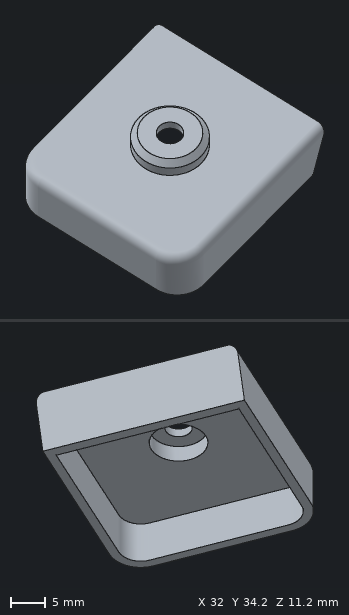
import cadquery as cq
import math

width = 32.0
length = 34.2
total_height = 11.25

body_height = 8.5
corner_radius = 5.0
wall = 1.5
top_edge_radius = wall
rear_slope = math.radians(20.0)

boss_diameter = 11.63
boss_chamfer = 1.0
boss_from_front = 17.37
hole_diameter = 4.0

front_y = -length / 2
rear_y = length / 2
boss_y = front_y + boss_from_front


def tapered_block(inset):
    """Block with rounded front corners and a sloping rear, moved inward by inset on every wall."""
    height = body_height - inset
    front = front_y + inset
    rear_at_body_top = rear_y - inset / math.cos(rear_slope)
    rear_at_top = rear_at_body_top - inset * math.tan(rear_slope)
    rear_at_bottom = rear_at_body_top - body_height * math.tan(rear_slope)
    return (
        cq.Workplane("YZ")
        .moveTo(front, 0)
        .lineTo(rear_at_bottom, 0)
        .lineTo(rear_at_top, height)
        .lineTo(front, height)
        .close()
        .extrude(width / 2 - inset, both=True)
        .edges("|Z and <Y").fillet(corner_radius - inset)
    )


def boss_cylinder(diameter, height):
    """Vertical cylinder on the boss axis, rising from the underside."""
    return cq.Workplane("XY").center(0, boss_y).circle(diameter / 2).extrude(height)


body = tapered_block(0).faces(">Z").edges("not >Y").fillet(top_edge_radius)
boss = boss_cylinder(boss_diameter, total_height).faces(">Z").chamfer(boss_chamfer)

body_cavity = tapered_block(wall)
boss_cavity = boss_cylinder(boss_diameter - 2 * wall, total_height - wall)
hole = boss_cylinder(hole_diameter, total_height)

result = body.union(boss).cut(body_cavity).cut(boss_cavity).cut(hole)